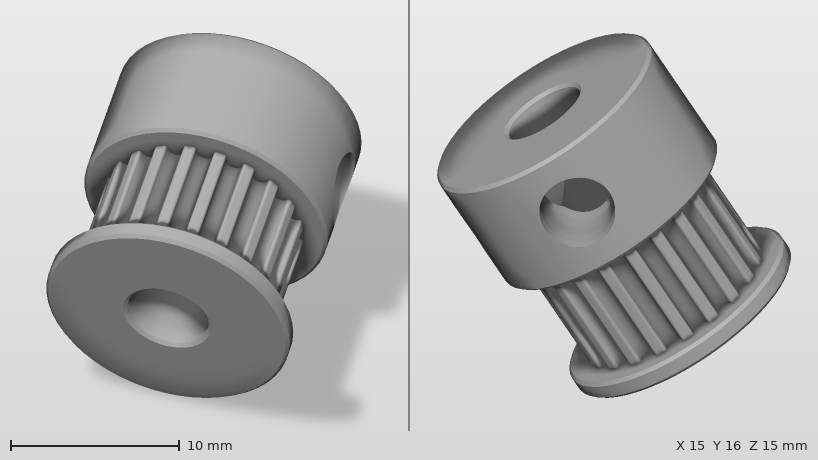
import cadquery as cq
import math

total_length = 16.0
flange_thickness = 1.2
hub_length = 7.75
toothed_length = total_length - flange_thickness - hub_length
hub_start = flange_thickness + toothed_length

rim_diameter = 15.0
sleeve_diameter = 7.0
bore_diameter = 5.0
edge_chamfer = 0.2

tooth_count = 20
tip_radius = 12.22 / 2
groove_depth = 0.875
groove_radius = 0.555
tip_fillet = 0.17

screw_hole_diameter = 4.5
screw_hole_y = hub_start + hub_length / 2


def cylinder(diameter, start, length):
    """Cylinder around the Y axis, reaching from start towards +Y."""
    return cq.Workplane("XZ", origin=(0, start, 0)).circle(diameter / 2).extrude(-length)


def make_rim(start, length):
    """Chamfered disc with a hole that fits over the sleeve of the core."""
    disc = cylinder(rim_diameter, start, length).edges().chamfer(edge_chamfer)
    return disc.cut(cylinder(sleeve_diameter, start, length))


def make_groove():
    """Belt groove at +Z: a round bottom that runs into rounded tooth tips."""
    bottom_z = tip_radius - groove_depth
    center_z = bottom_z + groove_radius

    fillet_center_radius = tip_radius - tip_fillet
    center_gap = groove_radius + tip_fillet
    fillet_z = (center_z**2 + fillet_center_radius**2 - center_gap**2) / (2 * center_z)
    fillet_x = math.sqrt(fillet_center_radius**2 - fillet_z**2)

    groove_share = groove_radius / center_gap
    wall_x = fillet_x * groove_share
    wall_z = center_z + (fillet_z - center_z) * groove_share
    land_x = fillet_x * tip_radius / fillet_center_radius
    land_z = fillet_z * tip_radius / fillet_center_radius

    wall_angle = math.pi + math.atan2(fillet_z - center_z, fillet_x)
    tip_angle = math.atan2(fillet_z, fillet_x)
    middle_angle = (wall_angle + tip_angle) / 2
    middle_x = fillet_x + tip_fillet * math.cos(middle_angle)
    middle_z = fillet_z + tip_fillet * math.sin(middle_angle)
    outside_z = tip_radius + groove_depth

    return (
        cq.Workplane("XZ", origin=(0, flange_thickness, 0))
        .moveTo(-wall_x, wall_z)
        .threePointArc((0, bottom_z), (wall_x, wall_z))
        .threePointArc((middle_x, middle_z), (land_x, land_z))
        .lineTo(land_x, outside_z)
        .lineTo(-land_x, outside_z)
        .lineTo(-land_x, land_z)
        .threePointArc((-middle_x, middle_z), (-wall_x, wall_z))
        .close()
        .extrude(-toothed_length)
    )


def make_screw_holes():
    """Two radial holes from the bore, one towards +X and one towards -Z."""
    axis_point = cq.Vector(0, screw_hole_y, 0)
    hole_radius = screw_hole_diameter / 2
    directions = [cq.Vector(1, 0, 0), cq.Vector(0, 0, -1)]
    holes = cq.Workplane()
    for direction in directions:
        holes = holes.add(cq.Solid.makeCylinder(hole_radius, rim_diameter, axis_point, direction))
    return holes.combine()


def make_core():
    """Toothed section on a bored sleeve that carries the flange and the hub."""
    sleeve = cylinder(sleeve_diameter, 0, total_length)
    sleeve = sleeve.cut(cylinder(bore_diameter, 0, total_length))
    bore_edges = sleeve.edges("%CIRCLE").edges(cq.selectors.RadiusNthSelector(0))
    sleeve = bore_edges.chamfer(edge_chamfer)

    teeth = cylinder(2 * tip_radius, flange_thickness, toothed_length)
    teeth = teeth.cut(cylinder(sleeve_diameter, flange_thickness, toothed_length))
    groove = make_groove()
    for index in range(tooth_count):
        angle = index * 360 / tooth_count
        teeth = teeth.cut(groove.rotate((0, 0, 0), (0, 1, 0), angle))
    return sleeve.union(teeth)


screw_holes = make_screw_holes()
flange = make_rim(0, flange_thickness)
core = make_core().cut(screw_holes)
hub = make_rim(hub_start, hub_length).cut(screw_holes)

result = cq.Compound.makeCompound([body.solids().val() for body in (flange, core, hub)])